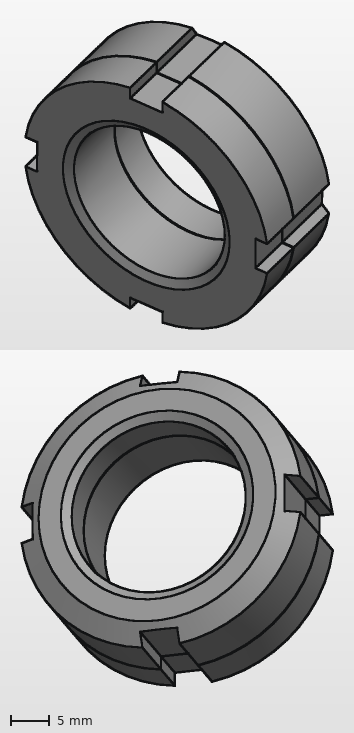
import cadquery as cq
import math

WIDTH = 37.67
LENGTH = 16.0
SLOT_WIDTH = 5.0
SLOT_FLOOR_RADIUS = 17.03
SLOT_COUNT = 4
BORE_RADIUS = 11.75
BORE_MOUTH_RADIUS = 13.0
CHAMFER_ANGLE = 30.0
BACK_FACE_RADIUS = 16.0
FRONT_RING_LENGTH = 6.05
RING_GAP = 0.1
SPIGOT_RADIUS = 14.3
SPIGOT_END = 10.0

OUTER_RADIUS = math.hypot(WIDTH / 2, SLOT_WIDTH / 2)
CHAMFER_SLOPE = math.tan(math.radians(CHAMFER_ANGLE))
BACK_CHAMFER_LENGTH = (OUTER_RADIUS - BACK_FACE_RADIUS) * CHAMFER_SLOPE
BORE_CHAMFER_LENGTH = (BORE_MOUTH_RADIUS - BORE_RADIUS) * CHAMFER_SLOPE
BACK_RING_START = FRONT_RING_LENGTH + RING_GAP
RECESS_FLOOR = SPIGOT_END + RING_GAP


def revolve_about_y(profile):
    """Turn a closed outline of (radius, Y) points about the Y axis."""
    return cq.Workplane("XY").polyline(profile).close().revolve(360, (0, 0, 0), (0, 1, 0))


def cut_spanner_slots(ring):
    """Cut the evenly spaced slots along the full length of a ring."""
    slot_depth = OUTER_RADIUS - SLOT_FLOOR_RADIUS
    slot_tool = cq.Workplane("XY").box(SLOT_WIDTH, LENGTH, slot_depth, centered=(True, False, False))
    slot_tool = slot_tool.translate((0, 0, SLOT_FLOOR_RADIUS))
    for index in range(SLOT_COUNT):
        angle = index * 360 / SLOT_COUNT
        ring = ring.cut(slot_tool.rotate((0, 0, 0), (0, 1, 0), angle))
    return ring


def make_front_ring():
    """Slotted ring with a chamfered bore mouth in front and a spigot behind."""
    profile = [
        (BORE_MOUTH_RADIUS, 0),
        (OUTER_RADIUS, 0),
        (OUTER_RADIUS, FRONT_RING_LENGTH),
        (SPIGOT_RADIUS, FRONT_RING_LENGTH),
        (SPIGOT_RADIUS, SPIGOT_END),
        (BORE_RADIUS, SPIGOT_END),
        (BORE_RADIUS, BORE_CHAMFER_LENGTH),
    ]
    return cut_spanner_slots(revolve_about_y(profile))


def make_back_ring():
    """Slotted ring with a recess for the spigot, and chamfers outside and in the bore at the back."""
    profile = [
        (SPIGOT_RADIUS, BACK_RING_START),
        (OUTER_RADIUS, BACK_RING_START),
        (OUTER_RADIUS, LENGTH - BACK_CHAMFER_LENGTH),
        (BACK_FACE_RADIUS, LENGTH),
        (BORE_MOUTH_RADIUS, LENGTH),
        (BORE_RADIUS, LENGTH - BORE_CHAMFER_LENGTH),
        (BORE_RADIUS, RECESS_FLOOR),
        (SPIGOT_RADIUS, RECESS_FLOOR),
    ]
    return cut_spanner_slots(revolve_about_y(profile))


front_ring = make_front_ring()
back_ring = make_back_ring()
result = cq.Compound.makeCompound([front_ring.solids().val(), back_ring.solids().val()])